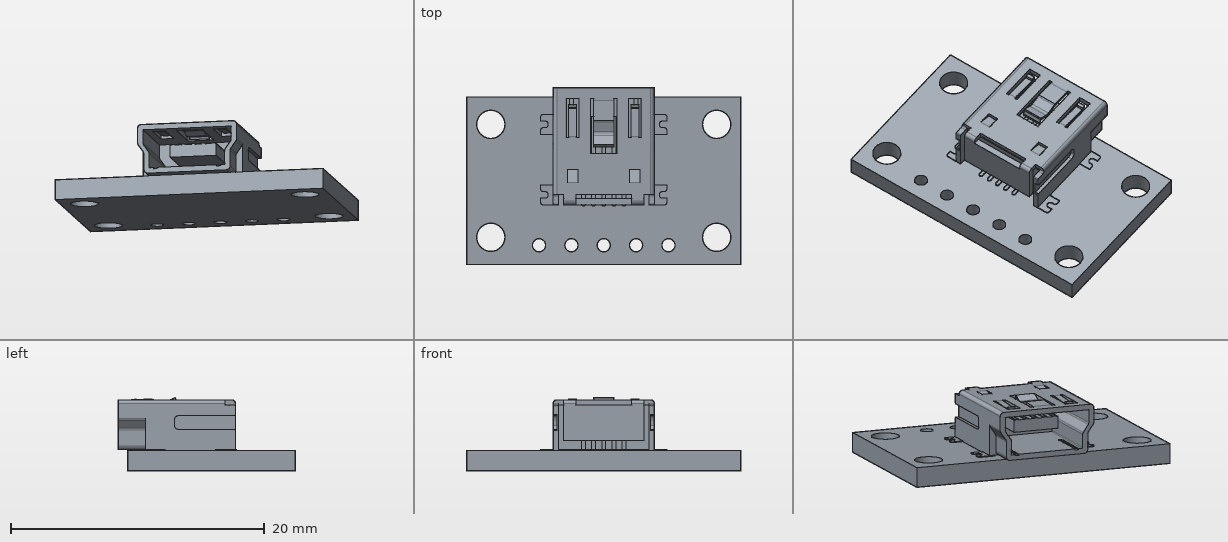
import cadquery as cq


BOARD_X = 21.6
BOARD_Y = 13.21
BOARD_T = 1.6
MOUNT_X = 8.9
MOUNT_Y = 4.45
MOUNT_DIA = 2.2
PAD_COUNT = 5
PAD_PITCH = 2.55
PAD_Y = -5.07
PAD_DIA = 1.01

SHELL_X = 7.99
SHELL_TOP = 4.0
SHELL_T = 0.43
BEND_R = 0.3
OVERHANG = 0.73
MOUTH_Y = BOARD_Y / 2 + OVERHANG
FRONT_Y = -1.9
HALF_X = SHELL_X / 2
INNER_X = HALF_X - SHELL_T
CEILING = SHELL_TOP - SHELL_T
BODY_Y = -1.0
GAP_Z = 0.06

MOUTH_START_Y = 5.18
SHOULDER_Z = 2.45
WAIST_Z = 1.7
MOUTH_INSET = 0.52
SHOULDER_R = 0.25
MOUTH_R = 0.3
MOUTH_INNER_R = 0.06

FLAP_X = 6.33
FLAP_BOTTOM = 0.78
FLAP_T = 0.52
NOTCH_Y = -1.08
NOTCH_Z = CEILING
NOTCH_R = 0.13
WALL_TIP_R = 0.06
FOLD_WINDOW_X = 4.4

SLOT_Y = 2.91
SLOT_Z = 2.2
SLOT_H = 1.08
SLOT_DEPTH = 0.3
SLOT_R = 0.32
SLOT_FLARE = 0.09

FOOT_TIP_X = 4.97
FOOT_Y = 1.58
FOOT_T = 0.06
FOOT_R = 0.2
FOOT_NOTCH_X = 0.58
FOOT_NOTCH_Y = 0.52
FOOT_NOTCH_R = 0.24
REAR_FOOT_Y = 4.45
FRONT_FOOT_Y = FRONT_Y + FOOT_Y / 2

PIN_COUNT = 5
PIN_PITCH = 0.8
PIN_X = 0.3
PIN_T = 0.09
PIN_TIP_Y = -1.99
PIN_RISE = 1.3
PIN_TIP_R = 0.13

CAVITY_Y = 1.08
TONGUE_X = 3.71
TONGUE_END_Y = 5.07
TONGUE_BOTTOM = 1.73
TONGUE_TOP = 2.7
CONTACT_T = 0.05
GROOVE_X = 2.55
GROOVE_WIDTH = 0.3
GROOVE_DEPTH = 0.09
GROOVE_START_Y = 3.89

SPRING_T = 0.2
WINDOW_END_Y = 6.48
LATCH_WINDOW_X = 2.05
LATCH_WINDOW_Y = 2.15
LATCH_X = 1.58
LATCH_BEND_Y = 6.33
LATCH_CREST_Y = 4.75
LATCH_CREST_Z = 4.05
LATCH_DROP_Y = 4.62
LATCH_DROP_Z = 4.02
LATCH_DIP_Y = 3.71
LATCH_DIP_Z = 3.75
LATCH_DIP_R = 0.43
LATCH_TIP_Y = 2.85
LATCH_TIP_Z = 4.17
LATCH_END_Y = 2.68
FINGER_X = 2.46
FINGER_WIDTH = 0.6
FINGER_WINDOW_X = 2.45
FINGER_WINDOW_WIDTH = 1.01
FINGER_WINDOW_Y = 3.41
FINGER_BEND_Y = 3.5
FINGER_LOW_Y = 5.7
FINGER_LOW_Z = 3.85
FINGER_STEP_Y = 5.76
FINGER_STEP_Z = 3.97
FINGER_TIP_Y = 6.0
FINGER_TIP_Z = 4.05

DIMPLE_X = 2.45
DIMPLE_WIDTH = 0.85
DIMPLE_START_Y = -0.15
DIMPLE_END_Y = 0.9
DIMPLE_DEPTH = 0.28

SIDES = (-1, 1)


def block(x0, x1, y0, y1, z0, z1):
    """Box between two opposite corners."""
    return cq.Workplane("XY").box(x1 - x0, y1 - y0, z1 - z0, centered=False).translate((x0, y0, z0))


def centred_block(x, width, y0, y1, z0, z1):
    """Box of the given width, centred on x."""
    return block(x - width / 2, x + width / 2, y0, y1, z0, z1)


def row(count, pitch):
    """Evenly spaced positions, centred on zero."""
    return [(i - (count - 1) / 2) * pitch for i in range(count)]


def extrude_side(points, x, width):
    """Prism of a (Y, Z) outline, centred on x."""
    return cq.Workplane("YZ").polyline(points).close().extrude(width / 2, both=True).translate((x, 0, 0))


def make_board():
    board = centred_block(0, BOARD_X, -BOARD_Y / 2, BOARD_Y / 2, -BOARD_T, 0)
    mounts = [(sx * MOUNT_X, sy * MOUNT_Y) for sx in SIDES for sy in SIDES]
    pads = [(x, PAD_Y) for x in row(PAD_COUNT, PAD_PITCH)]
    top = board.faces(">Z").workplane(origin=(0, 0, 0))
    board = top.pushPoints(mounts).hole(MOUNT_DIA)
    return board.faces(">Z").workplane(origin=(0, 0, 0)).pushPoints(pads).hole(PAD_DIA)


def mouth_prism(inset, y0, y1):
    """Solid with the stepped mouth profile, moved inwards by inset."""
    wide = HALF_X - inset
    narrow = wide - MOUTH_INSET
    right_side = [
        (narrow, GAP_Z + inset),
        (narrow, WAIST_Z),
        (wide, SHOULDER_Z),
        (wide, SHELL_TOP - inset),
    ]
    left_side = [(-x, z) for x, z in reversed(right_side)]
    prism = cq.Workplane("XZ").polyline(right_side + left_side).close().extrude(y0 - y1)
    prism = prism.translate((0, y0, 0))
    prism = prism.edges("|Y").edges("<Z").fillet(max(MOUTH_R - inset, MOUTH_INNER_R))
    bends = cq.selectors.BoxSelector((-SHELL_X, y0, GAP_Z + MOUTH_R), (SHELL_X, y1, CEILING - MOUTH_R))
    return prism.edges("|Y").edges(bends).fillet(SHOULDER_R)


def make_shell():
    """Socket with side walls, narrowed mouth and the gap behind the front flap."""
    walls = centred_block(0, SHELL_X, FRONT_Y, MOUTH_START_Y, 0, SHELL_TOP)
    inner_x = 2 * INNER_X
    walls = walls.cut(centred_block(0, inner_x, FRONT_Y, BODY_Y, 0, CEILING))
    walls = walls.cut(centred_block(0, inner_x, BODY_Y, MOUTH_START_Y, 0, GAP_Z))
    shell = walls.union(mouth_prism(0, MOUTH_START_Y, MOUTH_Y))
    return shell.edges("|Y and >Z").fillet(BEND_R)


def make_flap():
    """Folded front plate with a window through the middle of its bend."""
    flap = centred_block(0, FLAP_X, FRONT_Y, FRONT_Y + FLAP_T, FLAP_BOTTOM, SHELL_TOP)
    roof = centred_block(0, FLAP_X, FRONT_Y, NOTCH_Y, CEILING, SHELL_TOP)
    flap = flap.union(roof).edges("|X and <Y and >Z").fillet(BEND_R)
    return flap.cut(centred_block(0, FOLD_WINDOW_X, FRONT_Y, NOTCH_Y, NOTCH_Z, SHELL_TOP))


def cut_front_corners(shell):
    """Lower the front end of the walls and clear the roof above the flap."""
    shell = shell.cut(centred_block(0, 2 * INNER_X, FRONT_Y, NOTCH_Y, CEILING, SHELL_TOP))
    notch = centred_block(0, SHELL_X, FRONT_Y, NOTCH_Y, NOTCH_Z, SHELL_TOP)
    shell = shell.cut(notch.edges("|X and >Y and <Z").fillet(NOTCH_R))
    return shell.faces("<Y").edges(">Z").fillet(WALL_TIP_R)


def make_side_slot(side):
    """Round-ended slot, open and slightly flared at the front."""
    half = SLOT_H / 2
    slot = block(0, SLOT_DEPTH, FRONT_Y, SLOT_Y, SLOT_Z - half, SLOT_Z + half)
    slot = slot.edges("|X and >Y").fillet(SLOT_R)
    flare = [
        (FRONT_Y, SLOT_Z - half - SLOT_FLARE),
        (FRONT_Y + SLOT_FLARE, SLOT_Z - half),
        (FRONT_Y + SLOT_FLARE, SLOT_Z + half),
        (FRONT_Y, SLOT_Z + half + SLOT_FLARE),
    ]
    slot = slot.union(extrude_side(flare, SLOT_DEPTH / 2, SLOT_DEPTH))
    slot = slot.translate((HALF_X - SLOT_DEPTH, 0, 0))
    return slot if side > 0 else slot.mirror("YZ")


def make_foot(side, y, round_end):
    """Notched solder foot; round_end (+1 or -1) is the Y end with the rounded tip."""
    foot = block(INNER_X, FOOT_TIP_X, -FOOT_Y / 2, FOOT_Y / 2, 0, FOOT_T)
    foot = foot.edges("|Z and >X and >Y").fillet(FOOT_R)
    half = FOOT_NOTCH_Y / 2
    notch = block(FOOT_TIP_X - FOOT_NOTCH_X, FOOT_TIP_X, -half, half, 0, FOOT_T)
    foot = foot.cut(notch.edges("|Z and <X").fillet(FOOT_NOTCH_R))
    mouth_corner = cq.selectors.NearestToPointSelector((FOOT_TIP_X, -half, FOOT_T / 2))
    foot = foot.edges("|Z").edges(mouth_corner).fillet(FOOT_R)
    if round_end < 0:
        foot = foot.mirror("XZ")
    if side < 0:
        foot = foot.mirror("YZ")
    return foot.translate((0, y, 0))


def make_pin(x):
    """Pin rising on the front of the body and lying forwards on the board."""
    tail = centred_block(x, PIN_X, PIN_TIP_Y, BODY_Y, 0, PIN_T)
    tail = tail.edges("|Z and <Y").fillet(PIN_TIP_R)
    return tail.union(centred_block(x, PIN_X, BODY_Y - PIN_T, BODY_Y, 0, PIN_RISE))


def make_cavity():
    """Mouth opening with two grooves in its floor."""
    cavity = mouth_prism(SHELL_T, CAVITY_Y, MOUTH_Y)
    floor = GAP_Z + SHELL_T
    for side in SIDES:
        x = side * GROOVE_X
        cavity = cavity.union(
            centred_block(x, GROOVE_WIDTH, GROOVE_START_Y, MOUTH_Y, floor - GROOVE_DEPTH, floor + GROOVE_DEPTH)
        )
    return cavity


def make_tongue():
    """Tongue inside the mouth with one raised contact per pin."""
    tongue = centred_block(0, TONGUE_X, CAVITY_Y, TONGUE_END_Y, TONGUE_BOTTOM, TONGUE_TOP)
    contact_top = TONGUE_TOP + CONTACT_T
    for x in row(PIN_COUNT, PIN_PITCH):
        tongue = tongue.union(centred_block(x, PIN_X, CAVITY_Y, TONGUE_END_Y, TONGUE_TOP, contact_top))
    return tongue


def make_spring(upper_line, x, width):
    """Bent strip whose upper side follows the (Y, Z) points."""
    lower_line = [(y, z - SPRING_T) for y, z in reversed(upper_line)]
    return extrude_side(upper_line + lower_line, x, width)


def make_latch():
    """Centre spring, hinged at the mouth end, with a rounded dip before its raised tip."""
    line = [
        (WINDOW_END_Y, SHELL_TOP),
        (LATCH_BEND_Y, SHELL_TOP),
        (LATCH_CREST_Y, LATCH_CREST_Z),
        (LATCH_DROP_Y, LATCH_DROP_Z),
        (LATCH_DIP_Y, LATCH_DIP_Z),
        (LATCH_TIP_Y, LATCH_TIP_Z),
        (LATCH_END_Y, LATCH_DIP_Z),
    ]
    latch = make_spring(line, 0, LATCH_X)
    dip_edges = cq.selectors.BoxSelector(
        (-LATCH_X, LATCH_DIP_Y - SPRING_T, LATCH_DIP_Z - 2 * SPRING_T),
        (LATCH_X, LATCH_DIP_Y + SPRING_T, LATCH_DIP_Z + SPRING_T),
    )
    return latch.edges("|X").edges(dip_edges).fillet(LATCH_DIP_R)


def make_finger(side):
    """Outer spring, hinged at the inner end, sinking gently before its tip kicks up."""
    line = [
        (FINGER_WINDOW_Y, SHELL_TOP),
        (FINGER_BEND_Y, SHELL_TOP),
        (FINGER_LOW_Y, FINGER_LOW_Z),
        (FINGER_STEP_Y, FINGER_STEP_Z),
        (FINGER_TIP_Y, FINGER_TIP_Z),
    ]
    return make_spring(line, side * FINGER_X, FINGER_WIDTH)


def make_dimple(side):
    """Wedge that deepens towards the mouth."""
    slope = [
        (DIMPLE_START_Y, SHELL_TOP),
        (DIMPLE_END_Y, SHELL_TOP - DIMPLE_DEPTH),
        (DIMPLE_END_Y, SHELL_TOP),
    ]
    return extrude_side(slope, side * DIMPLE_X, DIMPLE_WIDTH)


def make_socket():
    socket = cut_front_corners(make_shell()).union(make_flap())
    socket = socket.cut(make_cavity()).union(make_tongue())
    socket = socket.cut(
        centred_block(0, LATCH_WINDOW_X, LATCH_WINDOW_Y, WINDOW_END_Y, CEILING, SHELL_TOP)
    )
    socket = socket.union(make_latch())
    for side in SIDES:
        window_x = side * FINGER_WINDOW_X
        socket = socket.cut(
            centred_block(window_x, FINGER_WINDOW_WIDTH, FINGER_WINDOW_Y, WINDOW_END_Y, CEILING, SHELL_TOP)
        )
        socket = socket.union(make_finger(side))
        socket = socket.cut(make_dimple(side)).cut(make_side_slot(side))
        socket = socket.union(make_foot(side, REAR_FOOT_Y, 1))
        socket = socket.union(make_foot(side, FRONT_FOOT_Y, -1))
    for x in row(PIN_COUNT, PIN_PITCH):
        socket = socket.union(make_pin(x))
    return socket


result = make_board().union(make_socket())